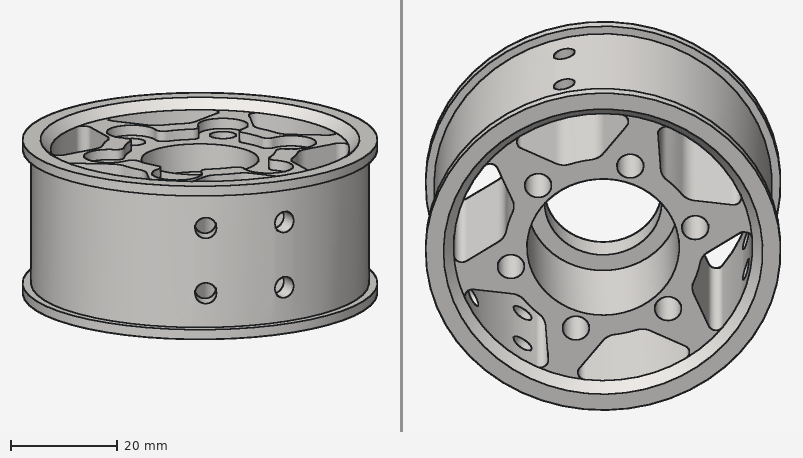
import cadquery as cq
import math

height = 29.84
flange_diameter = 66.67
flange_width = 1.905
drum_diameter = 63.5
rim_bore_diameter = 56.13
mouth_chamfer = 1.905

web_bottom = mouth_chamfer
web_top = height - mouth_chamfer
spoke_count = 6
spoke_pitch = 360 / spoke_count
window_inner_radius = 18.5
spoke_taper = 20.5
spoke_side_offset = 12.66
window_inner_fillet = 3.5
window_outer_fillet = 1.5

bolt_circle_radius = 17.78
bolt_hole_diameter = 5.0
recess_depth = 1.98
recess_diameter = 28.6
recess_lobe_diameter = 9.4
recess_fillet = 1.5
hub_bore_diameter = 22.02
hub_bore_length = 5.42
bearing_seat_diameter = 28.6

radial_hole_diameter = 4.04
radial_hole_spacing = 12.7
radial_hole_overrun = 1.0
paired_hole_angle = 330
paired_hole_spread = 14.0
radial_hole_angles = [
    90,
    210,
    paired_hole_angle - paired_hole_spread,
    paired_hole_angle + paired_hole_spread,
]

recess_floor = web_top - recess_depth
seat_top = recess_floor - hub_bore_length


def cylinder(diameter, bottom, top):
    return cq.Workplane("XY").workplane(offset=bottom).circle(diameter / 2).extrude(top - bottom)


def polar(radius, degrees):
    angle = math.radians(degrees)
    return (radius * math.cos(angle), radius * math.sin(angle))


def wheel_blank():
    blank = cylinder(drum_diameter, 0, height)
    blank = blank.union(cylinder(flange_diameter, 0, flange_width))
    blank = blank.union(cylinder(flange_diameter, height - flange_width, height))
    mouth_diameter = rim_bore_diameter + 2 * mouth_chamfer
    top_mouth = (
        cq.Workplane("XY").workplane(offset=web_top).circle(rim_bore_diameter / 2)
        .workplane(offset=mouth_chamfer).circle(mouth_diameter / 2).loft(ruled=True)
    )
    bottom_mouth = top_mouth.mirror("XY").translate((0, 0, height))
    return blank.cut(top_mouth).cut(bottom_mouth)


def spoke_side_angle(radius):
    """Angle from a spoke axis to the point where the spoke side reaches a radius."""
    side_distance = spoke_side_offset * math.cos(math.radians(spoke_taper))
    return math.degrees(math.asin(side_distance / radius)) - spoke_taper


def window():
    """Opening between two spokes, centred on +X."""
    outer_radius = rim_bore_diameter / 2
    inner_half_angle = spoke_pitch / 2 - spoke_side_angle(window_inner_radius)
    outer_half_angle = spoke_pitch / 2 - spoke_side_angle(outer_radius)
    opening = (
        cq.Workplane("XY").workplane(offset=web_bottom)
        .moveTo(*polar(window_inner_radius, -inner_half_angle))
        .lineTo(*polar(outer_radius, -outer_half_angle))
        .threePointArc((outer_radius, 0), polar(outer_radius, outer_half_angle))
        .lineTo(*polar(window_inner_radius, inner_half_angle))
        .threePointArc((window_inner_radius, 0), polar(window_inner_radius, -inner_half_angle))
        .close().extrude(web_top - web_bottom)
    )
    inner_x = polar(window_inner_radius, inner_half_angle)[0]
    split_x = (inner_x + polar(outer_radius, outer_half_angle)[0]) / 2
    inner_corners = cq.selectors.BoxSelector(
        (0, -outer_radius, 0), (split_x, outer_radius, height)
    )
    outer_corners = cq.selectors.BoxSelector(
        (split_x, -outer_radius, 0), (outer_radius, outer_radius, height)
    )
    opening = opening.edges("|Z").edges(inner_corners).fillet(window_inner_fillet)
    return opening.edges("|Z").edges(outer_corners).fillet(window_outer_fillet)


def hub_recess():
    """Central disc with a round lobe about every bolt hole, corners between them rounded."""
    disc = cylinder(recess_diameter, recess_floor, web_top)
    lobes = (
        cq.Workplane("XY").workplane(offset=recess_floor)
        .polarArray(bolt_circle_radius, 0, 360, spoke_count)
        .circle(recess_lobe_diameter / 2).extrude(recess_depth)
    )
    disc_radius = recess_diameter / 2
    lobe_radius = recess_lobe_diameter / 2
    corner_angle = math.degrees(math.acos(
        (disc_radius ** 2 + bolt_circle_radius ** 2 - lobe_radius ** 2)
        / (2 * disc_radius * bolt_circle_radius)
    ))
    recess = disc.union(lobes)
    for index in range(spoke_count):
        for side in (-1, 1):
            x, y = polar(disc_radius, index * spoke_pitch + side * corner_angle)
            corner = cq.selectors.NearestToPointSelector((x, y, (recess_floor + web_top) / 2))
            recess = recess.edges("|Z").edges(corner).fillet(recess_fillet)
    return recess


def bolt_holes():
    return (
        cq.Workplane("XY").polarArray(bolt_circle_radius, 0, 360, spoke_count)
        .circle(bolt_hole_diameter / 2).extrude(height)
    )


def radial_hole(angle, level):
    start_radius = rim_bore_diameter / 2 - radial_hole_overrun
    return (
        cq.Workplane("YZ").workplane(offset=start_radius).center(0, level)
        .circle(radial_hole_diameter / 2).extrude(flange_diameter / 2 - start_radius)
        .rotate((0, 0, 0), (0, 0, 1), angle)
    )


wheel = wheel_blank()
for index in range(spoke_count):
    window_angle = (index + 0.5) * spoke_pitch
    wheel = wheel.cut(window().rotate((0, 0, 0), (0, 0, 1), window_angle))
wheel = wheel.cut(hub_recess())
wheel = wheel.cut(bolt_holes())
wheel = wheel.cut(cylinder(hub_bore_diameter, 0, height))
wheel = wheel.cut(cylinder(bearing_seat_diameter, 0, seat_top))
for angle in radial_hole_angles:
    for side in (-1, 1):
        level = height / 2 + side * radial_hole_spacing / 2
        wheel = wheel.cut(radial_hole(angle, level))

result = wheel